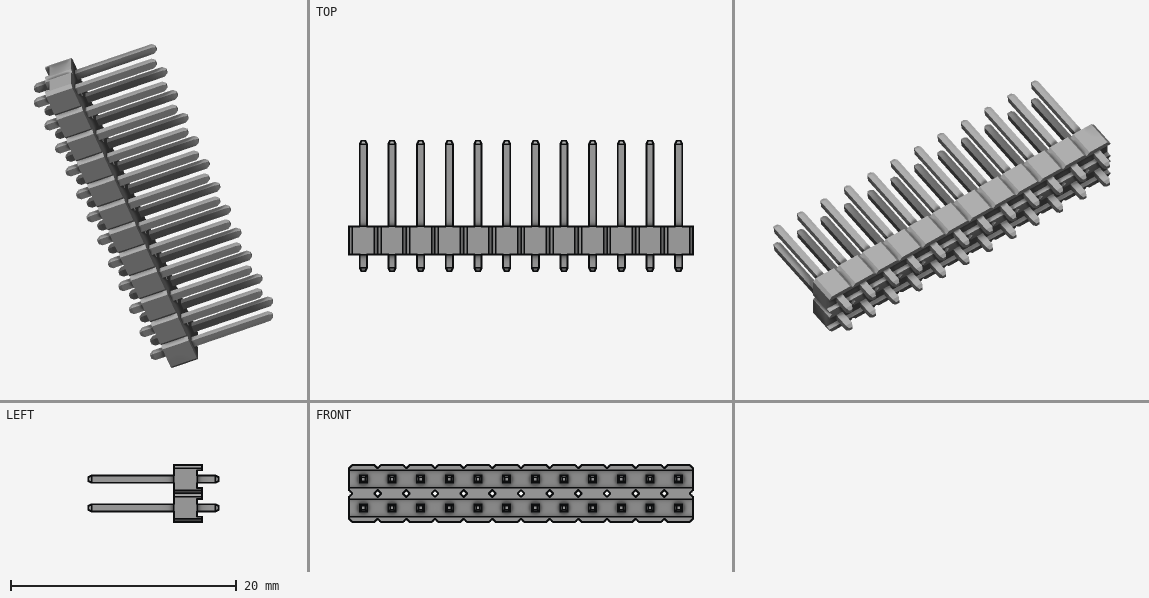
import cadquery as cq

pitch = 2.54
columns = 12
rows = 2

body_length = columns * pitch
body_height = rows * pitch
body_depth = 2.5
cell_chamfer = 0.3

groove_height = 1.54
groove_depth = 0.43

pin_width = 0.66
tip_width = 0.34
tip_length = 0.32
front_projection = 1.5
pin_length = 11.6

body_front = -body_depth / 2
pin_front = body_front - front_projection
pin_back = pin_front + pin_length


def cell_centres(count):
    """Centre coordinates of `count` cells spaced by the pitch about zero."""
    return [(i - (count - 1) / 2) * pitch for i in range(count)]


def cell_edges(count):
    """Coordinates of the cell boundaries, including both outer edges."""
    return [(i - count / 2) * pitch for i in range(count + 1)]


column_centres = cell_centres(columns)
row_centres = cell_centres(rows)


def make_body():
    """Block with a diamond cut through at every cell corner, grooved along each row."""
    body = cq.Workplane("XY").box(body_length, body_depth, body_height)
    corners = [(x, z) for x in cell_edges(columns) for z in cell_edges(rows)]
    diamond_cuts = (
        cq.Workplane("XZ", origin=(0, body_depth / 2, 0))
        .pushPoints(corners)
        .polygon(4, 2 * cell_chamfer)
        .extrude(body_depth)
    )
    body = body.cut(diamond_cuts)
    for z in row_centres:
        groove = cq.Workplane("XY").box(body_length, groove_depth, groove_height)
        body = body.cut(groove.translate((0, body_front + groove_depth / 2, z)))
    return body


def make_tip(x, z, y_end, direction):
    """Tapered pin tip ending at y_end, where direction is the outward sign along Y."""
    y_base = y_end - direction * tip_length
    return (
        cq.Workplane("XZ", origin=(x, y_base, z))
        .rect(pin_width, pin_width)
        .workplane(offset=-direction * tip_length)
        .rect(tip_width, tip_width)
        .loft(ruled=True)
    )


def make_pin(x, z):
    """Square pin along Y with a tapered tip at each end."""
    shank_length = pin_length - 2 * tip_length
    shank = (
        cq.Workplane("XZ", origin=(x, pin_back - tip_length, z))
        .rect(pin_width, pin_width)
        .extrude(shank_length)
    )
    return shank.union(make_tip(x, z, pin_front, -1)).union(make_tip(x, z, pin_back, 1))


pins = [make_pin(x, z).val() for x in column_centres for z in row_centres]
body_with_pins = make_body().val().fuse(*pins)
result = cq.Workplane("XY").newObject(body_with_pins.Solids())